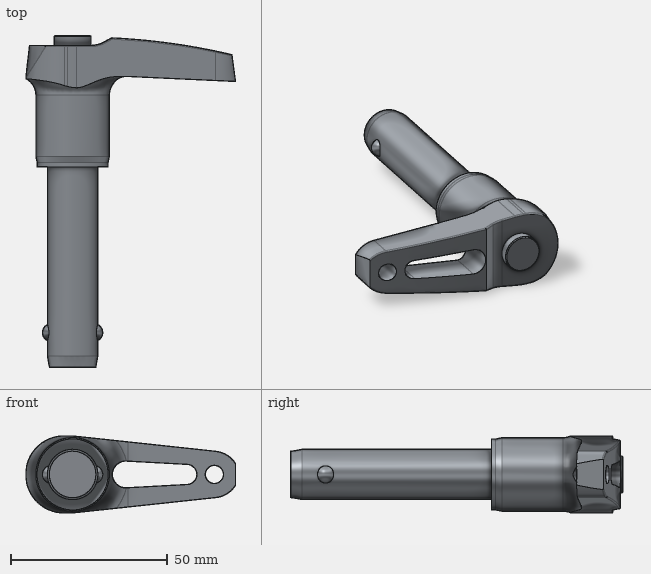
import cadquery as cq

overall_length = 106.2

shaft_radius = 8.1
tip_radius = 7.4
tip_length = 3.6
collar_radius = 11.8
collar_nose_radius = 11.4
collar_nose_y = 64.1
collar_step_y = 65.5
collar_taper_y = 67.5
button_radius = 6.0
button_chamfer = 0.3

ball_radius = 2.9
ball_reach = 9.7
ball_y = 11.2

head_width = 24.7
head_half_width = head_width / 2
head_arc_x = -2.7
flat_end_x = -1.7
side_start_x = 1.3
side_start_half_width = 12.2
side_end_x = 45.8
side_end_half_width = 7.4
lever_end_x = 52.1
end_half_width = 3.4

head_top_y = 103.0
lever_bottom_y = 93.0
lever_end_bottom_y = 91.4
lever_end_top_y = 100.0
lever_end_top_x = 51.0
dip_end_x = 5.8
dip_arc_rise = 0.2
dip_middle = (9.3, 103.8)
dip_arc_middle = ((dip_middle[0] + dip_end_x) / 2, head_top_y + dip_arc_rise)
crest = (12.5, 105.5)
back_middle = (33.3, 103.4)
top_edge_fillet = 0.4

head_top_radius = 13.8
head_bottom_radius = 15.0

cove_radius = 6.0
cove_start_y = lever_bottom_y - cove_radius
cove_outer_radius = collar_radius + cove_radius

slot_wide_x = 17.0
slot_wide_radius = 4.2
slot_narrow_x = 36.5
slot_narrow_radius = 3.2
hole_x = 45.3
hole_radius = 2.9


def disc(radius, x, start_y, end_y):
    """Cylinder parallel to Y."""
    return cq.Workplane("XZ", origin=(x, start_y, 0)).circle(radius).extrude(start_y - end_y)


def revolved(profile):
    """Turn an XY outline around the pin axis."""
    return profile.close().revolve(360, (0, 0, 0), (0, 1, 0))


def make_pin():
    profile = (
        cq.Workplane("XY")
        .lineTo(tip_radius, 0)
        .lineTo(shaft_radius, tip_length)
        .lineTo(shaft_radius, collar_nose_y)
        .lineTo(collar_nose_radius, collar_nose_y)
        .lineTo(collar_nose_radius, collar_step_y)
        .lineTo(collar_radius, collar_taper_y)
        .lineTo(collar_radius, lever_bottom_y)
        .lineTo(button_radius, lever_bottom_y)
        .lineTo(button_radius, overall_length - button_chamfer)
        .lineTo(button_radius - button_chamfer, overall_length)
        .lineTo(0, overall_length)
    )
    pin = revolved(profile)
    ball = cq.Workplane("XY").sphere(ball_radius)
    for side in (-1, 1):
        pin = pin.union(ball.translate((side * (ball_reach - ball_radius), ball_y, 0)))
    return pin


def make_outline_prism():
    """Rounded head running into two tapering sides and a rounded end."""
    half = (
        cq.Workplane("XZ", origin=(0, cove_start_y, 0))
        .moveTo(head_arc_x - head_half_width, 0)
        .radiusArc((head_arc_x, head_half_width), head_half_width)
        .lineTo(flat_end_x, head_half_width)
        .tangentArcPoint((side_start_x, side_start_half_width), relative=False)
        .lineTo(side_end_x, side_end_half_width)
        .tangentArcPoint((lever_end_x, end_half_width), relative=False)
        .lineTo(lever_end_x, 0)
        .close()
        .extrude(cove_start_y - overall_length)
    )
    return half.union(half.mirror("XY"))


def make_lever_profile():
    """Side shape of the lever: flat head, raised crest and bowed back."""
    return (
        cq.Workplane("XY")
        .moveTo(-head_bottom_radius, lever_bottom_y)
        .lineTo(cove_outer_radius, lever_bottom_y)
        .lineTo(lever_end_x, lever_end_bottom_y)
        .lineTo(lever_end_top_x, lever_end_top_y)
        .threePointArc(back_middle, crest)
        .lineTo(*dip_middle)
        .threePointArc(dip_arc_middle, (dip_end_x, head_top_y))
        .lineTo(-head_bottom_radius, head_top_y)
        .close()
        .extrude(head_half_width, both=True)
    )


def make_cove():
    profile = (
        cq.Workplane("XY")
        .moveTo(0, cove_start_y)
        .lineTo(collar_radius, cove_start_y)
        .radiusArc((cove_outer_radius, lever_bottom_y), cove_radius)
        .lineTo(0, lever_bottom_y)
    )
    return revolved(profile)


def make_head_trim():
    """Cone about the pin axis, with a block that leaves the lever arm untouched."""
    cone = revolved(
        cq.Workplane("XY")
        .moveTo(0, cove_start_y)
        .lineTo(head_bottom_radius, cove_start_y)
        .lineTo(head_bottom_radius, lever_bottom_y)
        .lineTo(head_top_radius, head_top_y)
        .lineTo(0, head_top_y)
    )
    arm_block = cq.Workplane("XY").box(
        lever_end_x, overall_length, head_width, centered=(False, False, True)
    )
    return cone.union(arm_block)


def make_slot():
    return (
        cq.Workplane("XZ")
        .moveTo(slot_wide_x, -slot_wide_radius)
        .threePointArc((slot_wide_x - slot_wide_radius, 0), (slot_wide_x, slot_wide_radius))
        .lineTo(slot_narrow_x, slot_narrow_radius)
        .threePointArc(
            (slot_narrow_x + slot_narrow_radius, 0), (slot_narrow_x, -slot_narrow_radius)
        )
        .close()
        .extrude(-overall_length)
    )


def round_top_edges(body):
    """Soften the top edges along both sides and leave the rounded head sharp."""

    def on_side_rim(edge):
        centre = edge.Center()
        return centre.x > head_arc_x and centre.y > lever_end_top_y

    return body.edges("not (|Z)").filter(on_side_rim).fillet(top_edge_fillet)


lever = make_lever_profile().union(make_cove())
lever = lever.intersect(make_outline_prism()).intersect(make_head_trim())
lever = round_top_edges(lever)
lever = lever.cut(make_slot()).cut(disc(hole_radius, hole_x, 0, overall_length))

result = make_pin().union(lever)